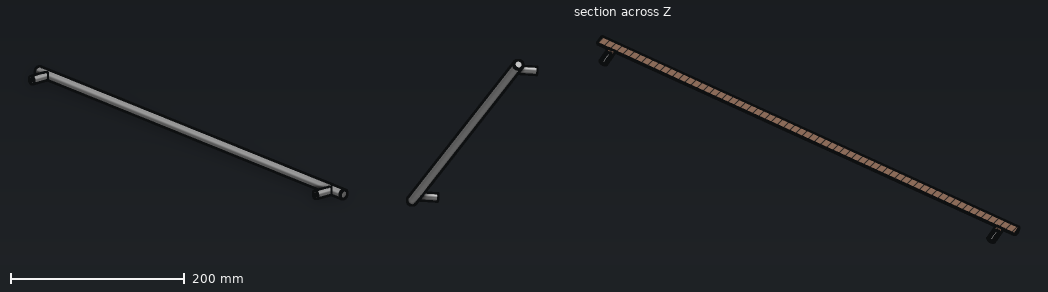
import cadquery as cq

bar_length = 552.0
bar_diameter = 12.0
bar_chamfer = 1.0
post_spacing = 512.0
post_diameter = 10.0
total_depth = 32.0
hole_diameter = 3.3
hole_depth = 15.0

post_foot_y = bar_diameter / 2 - total_depth


def make_bar():
    """Straight round bar along X with chamfered ends."""
    end = cq.Workplane("YZ", origin=(-bar_length / 2, 0, 0))
    bar = end.circle(bar_diameter / 2).extrude(bar_length)
    return bar.faces("<X or >X").chamfer(bar_chamfer)


def make_post(x_center, bar):
    """Round post along Y, saddled against the bar, with a blind hole in its foot."""
    foot = cq.Workplane(cq.Plane((x_center, post_foot_y, 0), (1, 0, 0), (0, 1, 0)))
    post = foot.circle(post_diameter / 2).extrude(-post_foot_y)
    hole = foot.circle(hole_diameter / 2).extrude(hole_depth)
    return post.cut(hole).cut(bar)


bar = make_bar()
posts = [make_post(side * post_spacing / 2, bar) for side in (-1, 1)]

result = cq.Compound.makeCompound([bar.val(), *[post.val() for post in posts]])